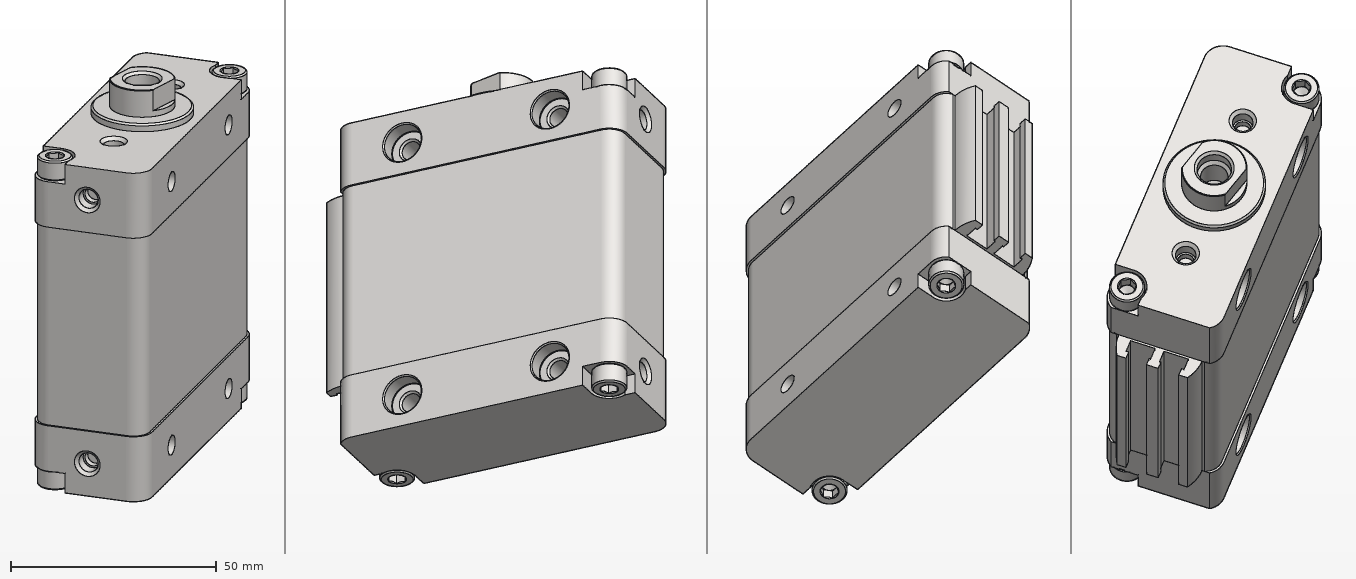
import cadquery as cq
import math

total_height = 95.0
cap_width = 30.0
cap_half_depth = 38.6
back_face_y = 37.8
corner_radius = 4.8
cap_thickness = 17.0
housing_height = 86.0
barrel_inset = 0.6

screw_head_diameter = 8.55
screw_head_chamfer = 0.4
screw_socket_width = 4.0
screw_socket_depth = 2.85
screw_pocket_depth = 5.1
screw_pocket_wall_x = 5.8

hole_spacing = 40.0
thread_diameter = 4.9
thread_mouth = 6.65
thread_depth = 3.8
thread_core_diameter = 4.0
thread_core_depth = 5.7
mount_hole_diameter = 4.9
mount_hole_mouth = 6.0
counterbore_diameter = 10.0
counterbore_floor_diameter = 9.7
counterbore_mouth = 10.6
counterbore_depth = 4.5

collar_diameter = 25.0
collar_height = 2.0
collar_chamfer = 0.5
rod_diameter = 16.0
rod_end_chamfer = 0.2
flat_width = 13.0
flat_height = 5.5
flat_angle = 15.0
rod_thread_mouth = 9.7
rod_thread_diameter = 8.4
rod_thread_depth = 3.3
rod_core_diameter = 6.65
rod_core_depth = 11.4
drill_tip_angle = 118.0

rail_top_y = 43.4
rail_floor_y = 38.4
rail_lip_y = 41.5
rail_half_width = 10.8
hook_top_outer = 9.1
hook_lip_x = 6.8
hook_wall_x = 7.5
hook_bulge_x = 10.4
hook_bulge_y = 40.8
stem_half_width = 1.1
stem_head_half_width = 1.5

barrel_height = housing_height - 2 * cap_thickness
corner_x = cap_width / 2 - corner_radius
corner_y = cap_half_depth - corner_radius
screw_pocket_wall_y = corner_y - corner_radius
mount_y = hole_spacing / 2
mid_cap = cap_thickness / 2


def cone(diameter_start, diameter_end, height, origin, direction):
    """Truncated cone from origin along direction."""
    solid = cq.Solid.makeCone(
        diameter_start / 2, diameter_end / 2, height, cq.Vector(*origin), cq.Vector(*direction)
    )
    return cq.Workplane(obj=solid)


def cylinder(diameter, height, origin, direction):
    """Cylinder from origin along direction."""
    solid = cq.Solid.makeCylinder(diameter / 2, height, cq.Vector(*origin), cq.Vector(*direction))
    return cq.Workplane(obj=solid)


def chamfered_hole(diameter, mouth, depth, origin, direction):
    """Flat-bottomed hole with a 45-degree chamfer at its mouth."""
    chamfer = (mouth - diameter) / 2
    hole = cylinder(diameter, depth, origin, direction)
    return hole.union(cone(mouth, diameter, chamfer, origin, direction))


def threaded_hole(origin, direction):
    """Chamfered thread with a narrower flat-bottomed core hole behind it."""
    thread = chamfered_hole(thread_diameter, thread_mouth, thread_depth, origin, direction)
    return thread.union(cylinder(thread_core_diameter, thread_core_depth, origin, direction))


def drilled_tip(diameter, origin):
    """Downward-pointing cone that closes a drilled hole."""
    height = diameter / 2 / math.tan(math.radians(drill_tip_angle / 2))
    return cone(diameter, 0, height, origin, (0, 0, -1))


def profile_block(inset, height):
    """Rounded block with its +Y side cut off flat."""
    block = (
        cq.Workplane("XY")
        .box(cap_width - 2 * inset, 2 * (cap_half_depth - inset), height, centered=(True, True, False))
        .edges("|Z")
        .fillet(corner_radius - inset)
    )
    behind = cq.Workplane("XY").box(cap_width, cap_half_depth, height, centered=(True, False, False))
    return block.cut(behind.translate((0, back_face_y, 0)))


def screw_pocket():
    """Pocket for the screw head in the (+X, +Y) corner, its floor at Z = 0."""
    pocket = cylinder(2 * corner_radius, screw_pocket_depth, (corner_x, corner_y, 0), (0, 0, 1))
    for inner_x, inner_y in ((screw_pocket_wall_x, corner_y), (corner_x, screw_pocket_wall_y)):
        wall = cq.Workplane("XY").box(cap_width, cap_half_depth, screw_pocket_depth, centered=False)
        pocket = pocket.union(wall.translate((inner_x, inner_y, 0)))
    return pocket


def screw_head():
    """Socket head of the (+X, +Y) corner screw, standing on Z = 0."""
    top = (corner_x, corner_y, screw_pocket_depth)
    head = cylinder(screw_head_diameter, screw_pocket_depth, (corner_x, corner_y, 0), (0, 0, 1))
    head = head.faces("<Z or >Z").chamfer(screw_head_chamfer)

    half_side_angle = 180 / 6
    corner_width = screw_socket_width / math.cos(math.radians(half_side_angle))
    mouth_depth = (corner_width - screw_socket_width) / 2
    floor = (corner_x, corner_y, screw_pocket_depth - screw_socket_depth)
    socket = cq.Workplane("XY").polygon(6, corner_width).extrude(screw_socket_depth)
    socket = socket.rotate((0, 0, 0), (0, 0, 1), half_side_angle).translate(floor)
    mouth = cone(corner_width, screw_socket_width, mouth_depth, top, (0, 0, -1))
    return head.cut(socket).cut(mouth).cut(drilled_tip(screw_socket_width, floor))


def mounting_hole(y):
    """Counterbored hole through a cap along X, entered from the -X side."""
    side_x = -cap_width / 2
    taper = (counterbore_diameter - counterbore_floor_diameter) / 2
    straight_depth = counterbore_depth - taper
    inward = (1, 0, 0)
    taper_start = (side_x + straight_depth, y, mid_cap)
    floor = (side_x + counterbore_depth, y, mid_cap)
    hole = chamfered_hole(
        counterbore_diameter, counterbore_mouth, straight_depth, (side_x, y, mid_cap), inward
    )
    hole = hole.union(cone(counterbore_diameter, counterbore_floor_diameter, taper, taper_start, inward))
    return hole.union(chamfered_hole(mount_hole_diameter, mount_hole_mouth, cap_width, floor, inward))


def end_cap():
    """End cap with its outer face up; the screw heads are part of it."""
    cap = profile_block(0, cap_thickness)
    pocket_floor = cap_thickness - screw_pocket_depth
    for turn in (0, 180):
        pocket = screw_pocket().translate((0, 0, pocket_floor))
        head = screw_head().translate((0, 0, pocket_floor))
        cap = cap.cut(pocket.rotate((0, 0, 0), (0, 0, 1), turn))
        cap = cap.union(head.rotate((0, 0, 0), (0, 0, 1), turn))

    for y in (-mount_y, mount_y):
        cap = cap.cut(mounting_hole(y))

    return cap.cut(threaded_hole((0, -cap_half_depth, mid_cap), (0, 1, 0)))


def make_bottom_cap():
    """End cap turned over, its outer face at Z = 0."""
    return end_cap().mirror("XY").translate((0, 0, cap_thickness))


def make_top_cap():
    """End cap with the rod collar, the rod bore and two threaded holes."""
    cap = end_cap()
    collar = cylinder(collar_diameter, collar_height, (0, 0, cap_thickness), (0, 0, 1))
    cap = cap.union(collar.faces(">Z").chamfer(collar_chamfer))
    cap = cap.cut(cylinder(rod_diameter, cap_thickness + collar_height, (0, 0, 0), (0, 0, 1)))
    for y in (-mount_y, mount_y):
        cap = cap.cut(threaded_hole((0, y, cap_thickness), (0, 0, -1)))
    return cap.translate((0, 0, housing_height - cap_thickness))


def rail_half():
    """Right half of the sensor rail outline, extruded over the barrel height."""
    return (
        cq.Workplane("XY")
        .moveTo(0, corner_y)
        .lineTo(rail_half_width, corner_y)
        .lineTo(rail_half_width, back_face_y)
        .threePointArc((hook_bulge_x, hook_bulge_y), (hook_top_outer, rail_top_y))
        .lineTo(hook_lip_x, rail_top_y)
        .lineTo(hook_lip_x, rail_lip_y)
        .lineTo(hook_wall_x, rail_lip_y)
        .lineTo(hook_wall_x, rail_floor_y)
        .lineTo(stem_half_width, rail_floor_y)
        .lineTo(stem_half_width, rail_lip_y)
        .lineTo(stem_head_half_width, rail_lip_y)
        .lineTo(stem_head_half_width, rail_top_y)
        .lineTo(0, rail_top_y)
        .close()
        .extrude(barrel_height)
    )


def make_barrel():
    """Barrel between the caps, with the sensor rail along its back."""
    half = rail_half()
    barrel = profile_block(barrel_inset, barrel_height).union(half).union(half.mirror("YZ"))
    return barrel.translate((0, 0, cap_thickness))


def make_rod():
    """Piston rod with two wrench flats and a threaded hole in its end."""
    rod_bottom = housing_height - cap_thickness
    rod = cylinder(rod_diameter, total_height - rod_bottom, (0, 0, rod_bottom), (0, 0, 1))
    rod = rod.faces(">Z").chamfer(rod_end_chamfer)

    flat_zone = cq.Workplane("XY").box(flat_width, rod_diameter, flat_height, centered=(True, True, False))
    waste = cylinder(rod_diameter, flat_height, (0, 0, 0), (0, 0, 1)).cut(flat_zone)
    waste = waste.rotate((0, 0, 0), (0, 0, 1), -flat_angle)
    rod = rod.cut(waste.translate((0, 0, total_height - flat_height)))

    end = (0, 0, total_height)
    rod = rod.cut(chamfered_hole(rod_thread_diameter, rod_thread_mouth, rod_thread_depth, end, (0, 0, -1)))
    thread_end = (0, 0, total_height - rod_thread_depth)
    step = (rod_thread_diameter - rod_core_diameter) / 2
    rod = rod.cut(cone(rod_thread_diameter, rod_core_diameter, step, thread_end, (0, 0, -1)))
    rod = rod.cut(cylinder(rod_core_diameter, rod_core_depth, end, (0, 0, -1)))
    return rod.cut(drilled_tip(rod_core_diameter, (0, 0, total_height - rod_core_depth)))


bottom_cap = make_bottom_cap()
top_cap = make_top_cap()
barrel = make_barrel()
rod = make_rod()

result = cq.Compound.makeCompound([bottom_cap.val(), top_cap.val(), barrel.val(), rod.val()])